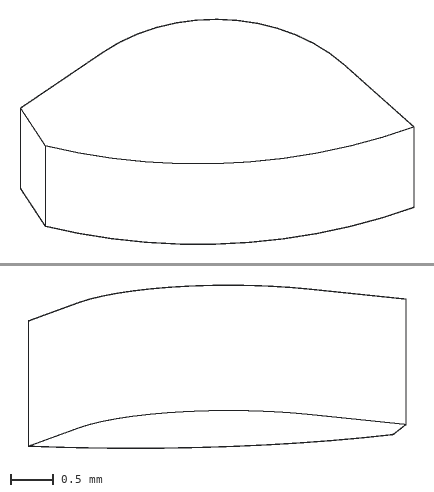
import cadquery as cq

width = 3.25
depth = 3.45
height = 1.5

corner_radius = 2.0
nose_width = 0.62
nose_rise = 0.155
bulge_radius = 6.003

half_chord = ((width - nose_width) ** 2 + depth**2) ** 0.5 / 2
bulge_height = bulge_radius - (bulge_radius**2 - half_chord**2) ** 0.5

result = (
    cq.Workplane("XY")
    .moveTo(nose_width, 0)
    .sagittaArc((width, depth), -bulge_height)
    .lineTo(corner_radius, depth)
    .radiusArc((0, depth - corner_radius), -corner_radius)
    .lineTo(0, nose_rise)
    .close()
    .extrude(height)
)